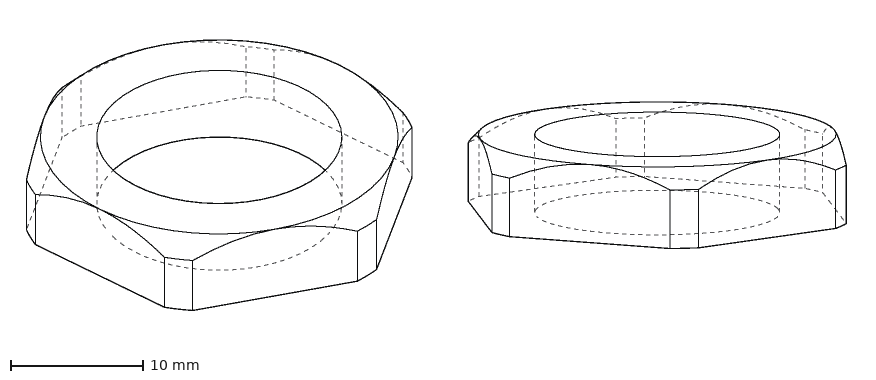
import cadquery as cq
import math

across_flats = 27.0
corner_diameter = 30.0
bore_diameter = 18.5
height = 6.0

chamfer = (corner_diameter - across_flats) / 2

HEX_SIDES = 6
across_corners = across_flats / math.cos(math.pi / HEX_SIDES)


def hexagonal_prism():
    """Sharp hexagonal prism with corners on the X axis."""
    return cq.Workplane("XY").polygon(HEX_SIDES, across_corners).extrude(height)


def chamfered_cylinder():
    """Turned envelope that rounds the hexagon corners and chamfers the top."""
    return cq.Workplane("XY").circle(corner_diameter / 2).extrude(height).faces(">Z").chamfer(chamfer)


def bore():
    """Plain through hole on the Z axis."""
    return cq.Workplane("XY").circle(bore_diameter / 2).extrude(height)


result = hexagonal_prism().intersect(chamfered_cylinder()).cut(bore())